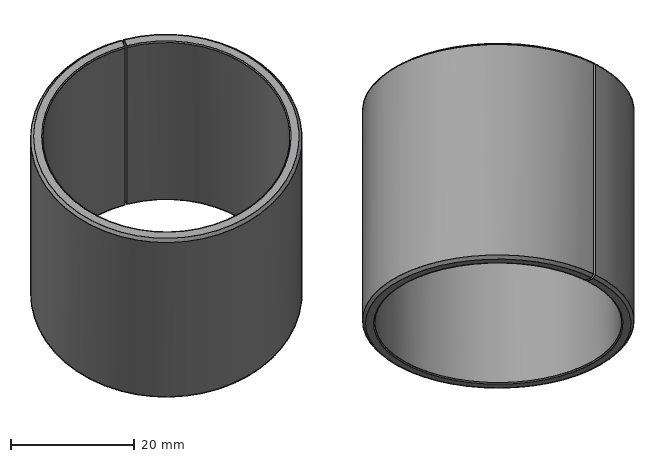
import cadquery as cq

outer_diameter = 44.0
bore_diameter = 40.0
length = 40.0
outer_chamfer = 0.5
bore_chamfer = 0.2
slit_angle = 1.0

outer_radius = outer_diameter / 2
bore_radius = bore_diameter / 2


def make_split_sleeve():
    """Sweep the chamfered wall section around Z from -X, stopping short to leave the slit on the +Y side."""
    wall_section = [
        (-bore_radius, bore_chamfer),
        (-bore_radius - bore_chamfer, 0),
        (-outer_radius + outer_chamfer, 0),
        (-outer_radius, outer_chamfer),
        (-outer_radius, length - outer_chamfer),
        (-outer_radius + outer_chamfer, length),
        (-bore_radius - bore_chamfer, length),
        (-bore_radius, length - bore_chamfer),
    ]
    sweep_angle = 360 - slit_angle
    return cq.Workplane("XZ").polyline(wall_section).close().revolve(sweep_angle, (0, 0, 0), (0, 1, 0))


result = make_split_sleeve()